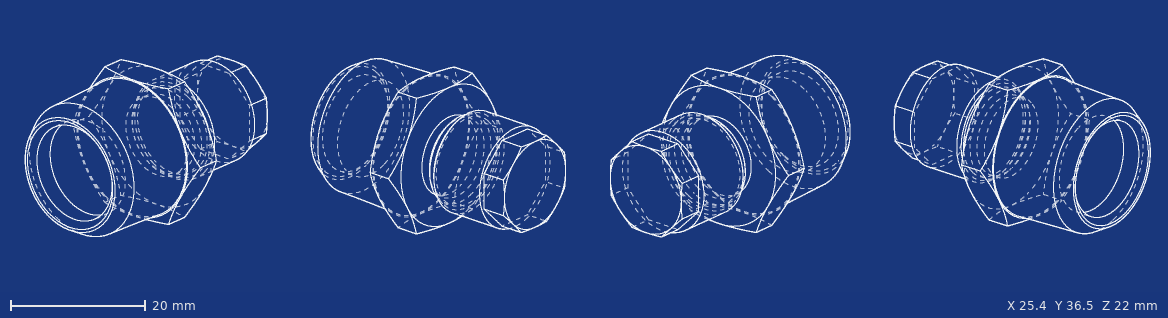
import cadquery as cq
import math

total_length = 36.5

taper_large_dia = 21.6
taper_small_dia = 20.88
tip_dia = 17.95
tip_length = 2.63
male_length = 13.98

bore_dia = 15.0
mouth_dia = 17.0
bore_depth = 3.98

hex_flats = 22.0
hex_width = 5.6
hex_chamfer_angle = 30.0

neck_dia = 12.5
neck_length = 1.45
shoulder_dia = 13.9
shoulder_length = 1.97

collar_dia = 16.0
collar_chamfer = 0.47

octagon_flats = 13.9
octagon_length = 4.0
octagon_chamfer_angle = 20.0

hex_end = male_length + hex_width
neck_end = hex_end + neck_length
collar_start = neck_end + shoulder_length
octagon_start = total_length - octagon_length


def revolve_about_y(profile):
    """Revolve a closed (radius, y) profile about the Y axis."""
    return cq.Workplane("XY").polyline(profile).close().revolve(360, (0, 0, 0), (0, 1, 0))


def prism(sides, flats, start, length, turn):
    """Regular prism along +Y, turned about its own axis."""
    corner_dia = flats / math.cos(math.pi / sides)
    return (
        cq.Workplane("XZ", origin=(0, start, 0))
        .polygon(sides, corner_dia)
        .extrude(-length)
        .rotate((0, 0, 0), (0, 1, 0), turn)
    )


def corner_chamfer_depth(sides, flats, angle):
    """Axial depth at the corners of a cone starting on the circle inside the flats."""
    radial = flats / 2 * (1 / math.cos(math.pi / sides) - 1)
    return radial * math.tan(math.radians(angle))


def make_male_end():
    mouth_depth = (mouth_dia - bore_dia) / 2
    return revolve_about_y([
        (mouth_dia / 2, 0),
        (tip_dia / 2, 0),
        (taper_small_dia / 2, tip_length),
        (taper_large_dia / 2, male_length),
        (0, male_length),
        (0, bore_depth),
        (bore_dia / 2, bore_depth),
        (bore_dia / 2, mouth_depth),
    ])


def make_hexagon():
    depth = corner_chamfer_depth(6, hex_flats, hex_chamfer_angle)
    corner_radius = hex_flats / 2 / math.cos(math.pi / 6)
    envelope = revolve_about_y([
        (0, male_length),
        (hex_flats / 2, male_length),
        (corner_radius, male_length + depth),
        (corner_radius, hex_end - depth),
        (hex_flats / 2, hex_end),
        (0, hex_end),
    ])
    return prism(6, hex_flats, male_length, hex_width, 0).intersect(envelope)


def make_neck_and_collar():
    shoulder_chamfer = (shoulder_dia - neck_dia) / 2
    return revolve_about_y([
        (0, hex_end),
        (neck_dia / 2, hex_end),
        (neck_dia / 2, neck_end),
        (shoulder_dia / 2, neck_end + shoulder_chamfer),
        (shoulder_dia / 2, collar_start),
        (collar_dia / 2 - collar_chamfer, collar_start),
        (collar_dia / 2, collar_start + collar_chamfer),
        (collar_dia / 2, octagon_start),
        (0, octagon_start),
    ])


def make_octagon():
    depth = corner_chamfer_depth(8, octagon_flats, octagon_chamfer_angle)
    corner_radius = octagon_flats / 2 / math.cos(math.pi / 8)
    envelope = revolve_about_y([
        (0, octagon_start),
        (corner_radius, octagon_start),
        (corner_radius, total_length - depth),
        (octagon_flats / 2, total_length),
        (0, total_length),
    ])
    half_side_turn = 180 / 8
    return prism(8, octagon_flats, octagon_start, octagon_length, half_side_turn).intersect(envelope)


result = (
    make_male_end()
    .union(make_hexagon())
    .union(make_neck_and_collar())
    .union(make_octagon())
)